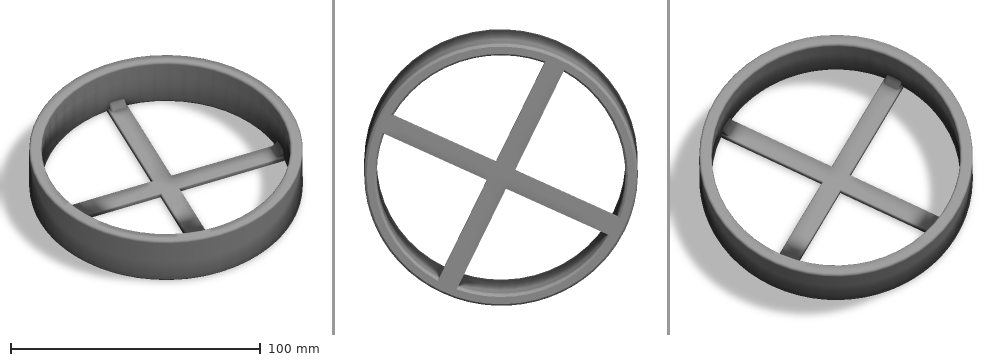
import cadquery as cq

outer_diameter = 109.5
inner_diameter = 99.5
height = 22.0
edge_round = 1.0
foot_chamfer = 1.0

bar_width = 8.3
bar_thickness = 2.0
bar_edge_round = 0.7

gusset_width = bar_width - 2 * bar_edge_round
gusset_reach = 3.0
gusset_round = 1.0

outer_radius = outer_diameter / 2
inner_radius = inner_diameter / 2
wall_middle = (outer_radius + inner_radius) / 2


def make_ring():
    """Wall with rounded top edges, and chamfered bottom edges blended into the wall."""
    ring = cq.Workplane("XY").circle(outer_radius).circle(inner_radius).extrude(height)
    ring = ring.faces("<Z").edges().chamfer(foot_chamfer)
    foot_level = cq.selectors.BoxSelector(
        (-outer_diameter, -outer_diameter, foot_chamfer / 2),
        (outer_diameter, outer_diameter, height / 2),
        boundingbox=False,
    )
    ring = ring.edges(cq.selectors.AndSelector(foot_level, cq.selectors.TypeSelector("CIRCLE")))
    return ring.fillet(edge_round).faces(">Z").edges().fillet(edge_round)


def make_cross():
    """Two crossed bars with rounded upper long edges, ending inside the wall."""
    bar_length = 2 * wall_middle
    bar = cq.Workplane("XY").box(bar_length, bar_width, bar_thickness, centered=(True, True, False))
    bar = bar.edges("|X and >Z").fillet(bar_edge_round)
    return bar.union(bar.rotate((0, 0, 0), (0, 0, 1), 90))


def make_gusset():
    """45 degree wedge on the +X bar end, with rounded sloping edges."""
    toe = inner_radius - gusset_reach
    rise = wall_middle - toe
    wedge = (
        cq.Workplane("XZ")
        .moveTo(toe, bar_thickness)
        .lineTo(wall_middle, bar_thickness + rise)
        .lineTo(wall_middle, 0)
        .lineTo(toe, 0)
        .close()
        .extrude(gusset_width / 2, both=True)
    )
    slope_edges = cq.selectors.ParallelDirSelector(cq.Vector(1, 0, 1))
    return wedge.edges(slope_edges).fillet(gusset_round)


result = make_ring().union(make_cross())
gusset = make_gusset()
for angle in (0, 90, 180, 270):
    result = result.union(gusset.rotate((0, 0, 0), (0, 0, 1), angle))